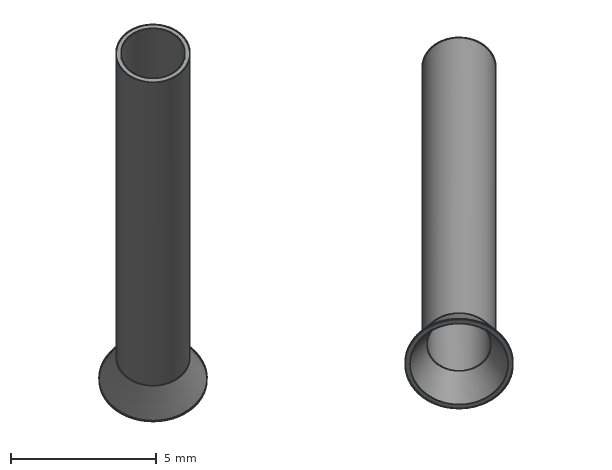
import cadquery as cq

length = 18.0
flare_diameter = 3.7
tube_diameter = 2.54
bore_diameter = 2.2

flare_height = 1.25
rim_height = 0.05

tube_radius = tube_diameter / 2
bore_radius = bore_diameter / 2
flare_radius = flare_diameter / 2
wall = tube_radius - bore_radius

mouth_radius = flare_radius - wall

section = (
    cq.Workplane("XZ")
    .moveTo(mouth_radius, 0)
    .lineTo(flare_radius, 0)
    .lineTo(flare_radius, rim_height)
    .lineTo(tube_radius, flare_height)
    .lineTo(tube_radius, length)
    .lineTo(bore_radius, length)
    .lineTo(bore_radius, flare_height - rim_height)
    .close()
)

result = section.revolve(360, (0, 0, 0), (0, 1, 0))